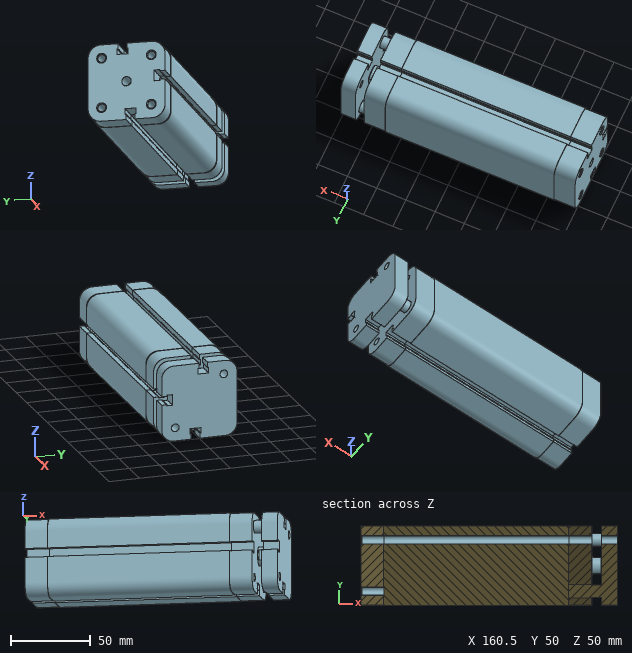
import cadquery as cq

TOTAL_LENGTH = 160.5
HOUSING_LENGTH = 144.5
CAP_LENGTH = 14.5
PLATE_GAP = 6.0

BARREL_WIDTH = 50.0
OUTLINE_INSET = 0.2
CAP_WIDTH = BARREL_WIDTH - 2 * OUTLINE_INSET
CAP_CORNER_RADIUS = 8.3
BARREL_CORNER_RADIUS = 7.9
PLATE_CORNER_RADIUS = 7.9

SLOT_OFFSET = 2.5
SLOT_MOUTH_WIDTH = 5.6
SLOT_INNER_WIDTH = 6.9
SLOT_LIP_DEPTH = 3.7
SLOT_DEPTH = 7.2
BARREL_SLOT_INSET = 0.08
SLOT_ANGLES = (0, 90, 180)

PATTERN_OFFSET = 16.0
GUIDE_DIAMETER = 8.0
BOLT_HOLE_DIAMETER = 5.0
HOLE_CHAMFER = 0.6
CENTRE_HOLE_DIAMETER = 6.0

ROD_DIAMETER = 12.0
ROD_ACROSS_FLATS = 10.3
ROD_END_CHAMFER = 0.3

FRONT_CAP_START = HOUSING_LENGTH - CAP_LENGTH
BARREL_LENGTH = FRONT_CAP_START - CAP_LENGTH
PLATE_START = HOUSING_LENGTH + PLATE_GAP
PLATE_LENGTH = TOTAL_LENGTH - PLATE_START
ROD_LENGTH = PLATE_START - FRONT_CAP_START

AXIS_POINT = [(0, 0)]
GUIDE_POINTS = [(-PATTERN_OFFSET, PATTERN_OFFSET), (PATTERN_OFFSET, -PATTERN_OFFSET)]
BOLT_POINTS = [(PATTERN_OFFSET, PATTERN_OFFSET), (-PATTERN_OFFSET, -PATTERN_OFFSET)]


def section_plane(x):
    """YZ plane at the given X; local x is Y and local y is Z."""
    return cq.Workplane("YZ", origin=(x, 0, 0))


def cylinders(x, length, diameter, points):
    """Cylinders along X at the given (Y, Z) points."""
    return section_plane(x).pushPoints(points).circle(diameter / 2).extrude(length)


def slot_cutter(x, length, inset):
    """T-shaped slot in the +Z side, offset toward +Y; inset tightens its walls and floor."""
    top = BARREL_WIDTH / 2
    lip_bottom = top - SLOT_LIP_DEPTH
    floor = top - SLOT_DEPTH + inset
    half_mouth = SLOT_MOUTH_WIDTH / 2 - inset
    half_inner = SLOT_INNER_WIDTH / 2 - inset
    outline = [
        (SLOT_OFFSET - half_mouth, top),
        (SLOT_OFFSET - half_mouth, lip_bottom),
        (SLOT_OFFSET - half_inner, lip_bottom),
        (SLOT_OFFSET - half_inner, floor),
        (SLOT_OFFSET + half_inner, floor),
        (SLOT_OFFSET + half_inner, lip_bottom),
        (SLOT_OFFSET + half_mouth, lip_bottom),
        (SLOT_OFFSET + half_mouth, top),
    ]
    return section_plane(x).polyline(outline).close().extrude(length)


def slotted_block(x, length, width, corner_radius, slot_inset=0.0):
    """Rounded square block with slots in its +Z, -Y and -Z sides."""
    block = section_plane(x).rect(width, width).extrude(length).edges("|X").fillet(corner_radius)
    cutter = slot_cutter(x, length, slot_inset)
    for angle in SLOT_ANGLES:
        block = block.cut(cutter.rotate((0, 0, 0), (1, 0, 0), angle))
    return block


def make_rear_cap():
    cap = slotted_block(0, CAP_LENGTH, CAP_WIDTH, CAP_CORNER_RADIUS)
    cap = cap.cut(cylinders(0, CAP_LENGTH, BOLT_HOLE_DIAMETER, GUIDE_POINTS + BOLT_POINTS))
    cap = cap.faces("<X").edges(cq.selectors.RadiusNthSelector(0)).chamfer(HOLE_CHAMFER)
    return cap.cut(cylinders(0, CAP_LENGTH, CENTRE_HOLE_DIAMETER, AXIS_POINT))


def make_barrel():
    barrel = slotted_block(CAP_LENGTH, BARREL_LENGTH, BARREL_WIDTH, BARREL_CORNER_RADIUS, BARREL_SLOT_INSET)
    return barrel.cut(cylinders(CAP_LENGTH, BARREL_LENGTH, BOLT_HOLE_DIAMETER, BOLT_POINTS))


def make_front_cap():
    cap = slotted_block(FRONT_CAP_START, CAP_LENGTH, CAP_WIDTH, CAP_CORNER_RADIUS)
    cap = cap.cut(cylinders(FRONT_CAP_START, CAP_LENGTH, BOLT_HOLE_DIAMETER, BOLT_POINTS))
    cap = cap.cut(cylinders(FRONT_CAP_START, CAP_LENGTH, GUIDE_DIAMETER, GUIDE_POINTS))
    return cap.cut(cylinders(FRONT_CAP_START, CAP_LENGTH, ROD_DIAMETER, AXIS_POINT))


def flat_cutter():
    """Removes the +Y flat of the piston rod, with a 45 degree run-in next to the front cap."""
    outer = ROD_DIAMETER / 2
    inner = ROD_ACROSS_FLATS / 2
    run_in_end = HOUSING_LENGTH + outer - inner
    outline = [(HOUSING_LENGTH, outer), (run_in_end, inner), (PLATE_START, inner), (PLATE_START, outer)]
    return cq.Workplane("XY").polyline(outline).close().extrude(outer, both=True)


def make_piston_rod():
    rod = cylinders(FRONT_CAP_START, ROD_LENGTH, ROD_DIAMETER, AXIS_POINT)
    rod = rod.faces(">X").chamfer(ROD_END_CHAMFER)
    flat = flat_cutter()
    return rod.cut(flat).cut(flat.mirror("XZ"))


def make_yoke():
    """End plate in one piece with its two guide rods."""
    plate = slotted_block(PLATE_START, PLATE_LENGTH, CAP_WIDTH, PLATE_CORNER_RADIUS)
    plate = plate.cut(cylinders(PLATE_START, PLATE_LENGTH, BOLT_HOLE_DIAMETER, BOLT_POINTS))
    return plate.union(cylinders(FRONT_CAP_START, ROD_LENGTH, GUIDE_DIAMETER, GUIDE_POINTS))


rear_cap = make_rear_cap()
barrel = make_barrel()
front_cap = make_front_cap()
piston_rod = make_piston_rod()
yoke = make_yoke()

result = cq.Compound.makeCompound(
    [rear_cap.val(), barrel.val(), front_cap.val(), piston_rod.val(), *yoke.solids().vals()]
)